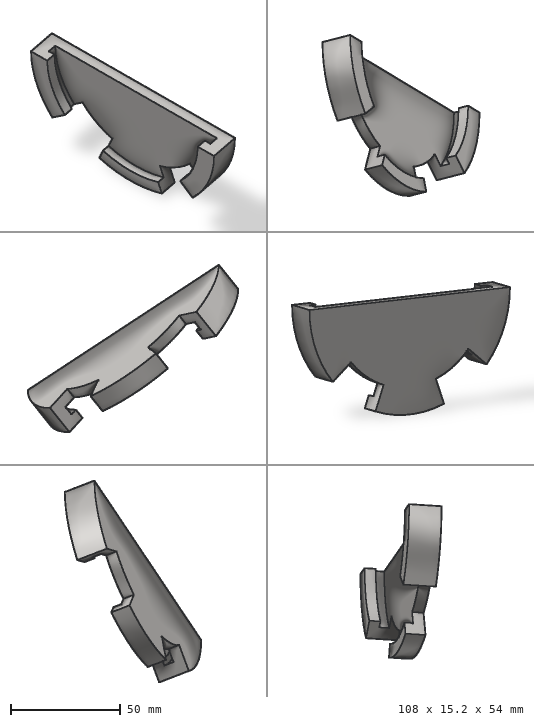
import cadquery as cq
import math

outer_radius = 54.0
web_radius = 41.2
groove_radius = 47.6
lip_radius = 44.4
plate_thickness = 5.4
lip_start = 10.0
side_height = 15.2
tab_height = 9.4
side_arm_angle = 40.0
tab_angle = 40.0


def polar(radius, degrees):
    """Point in the XZ plane at an angle measured from +X toward +Z."""
    angle = math.radians(degrees)
    return radius * math.cos(angle), radius * math.sin(angle)


def ring_sector(inner, outer, start, end, base, top):
    """Annular sector between two angles, spanning two heights above the back face."""
    middle = (start + end) / 2
    return (
        cq.Workplane("XZ", origin=(0, -base, 0))
        .moveTo(*polar(inner, start))
        .lineTo(*polar(outer, start))
        .threePointArc(polar(outer, middle), polar(outer, end))
        .lineTo(*polar(inner, end))
        .threePointArc(polar(inner, middle), polar(inner, start))
        .close()
        .extrude(top - base)
    )


result = (
    cq.Workplane("XZ")
    .moveTo(-web_radius, 0)
    .threePointArc((0, -web_radius), (web_radius, 0))
    .close()
    .extrude(plate_thickness)
)

side_arms = [(-side_arm_angle, 0), (-180, -180 + side_arm_angle)]
tab = (-90 - tab_angle / 2, -90 + tab_angle / 2)
arms = [(*span, side_height) for span in side_arms] + [(*tab, tab_height)]

overlap_radius = web_radius / 2
for start, end, height in arms:
    result = result.union(ring_sector(overlap_radius, outer_radius, start, end, 0, plate_thickness))
    result = result.union(ring_sector(groove_radius, outer_radius, start, end, 0, height))

for start, end in side_arms:
    result = result.union(ring_sector(lip_radius, outer_radius, start, end, lip_start, side_height))

result = result.translate((0, side_height / 2, 0)).clean()